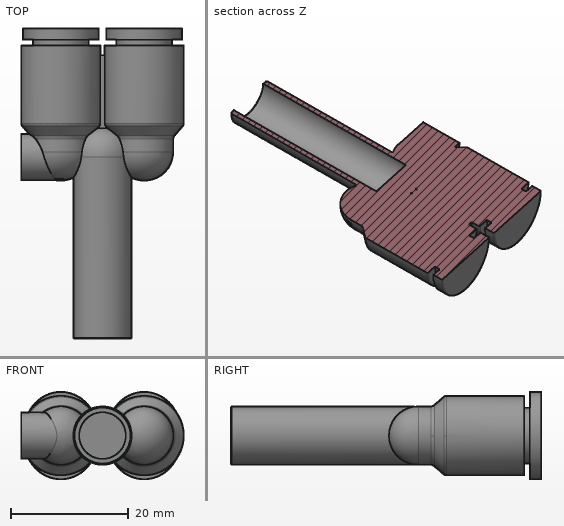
import cadquery as cq

length = 53.1
width = 27.8
back_y = length / 2

body_radius = 6.8
socket_x = width / 2 - body_radius
neck_radius = 5.0
body_start = 2.9
cone_start = 16.5
cone_end = 18.6
neck_end = 21.1
shoulder_fillet = 0.7
neck_fillet = 0.9
rim_fillet = 0.15

edge_margin = 0.05

collar_width = 13.0
collar_height = 15.0
collar_thickness = 1.95
sleeve_radius = 4.8

tube_radius = neck_radius
bore_radius = 4.0
junction_depth = 22.0
junction_y = back_y - junction_depth
stem_length = length - junction_depth
tube_chamfer = 0.2

plug_radius = 4.0
plug_depth = 22.05

web_start = 4.6
web_height = 2.0
web_overlap = 0.25


def fillet_ring(turned, ring_radius, ring_y, fillet_radius):
    """Round the circular edge of the given radius and height on a solid turned about Y."""
    reach = ring_radius + edge_margin
    zone = cq.selectors.BoxSelector(
        (-reach, ring_y - edge_margin, -reach),
        (reach, ring_y + edge_margin, reach),
    )
    return turned.edges(zone).edges("%CIRCLE").fillet(fillet_radius)


def socket(x):
    """Collar, sleeve, stepped body and rounded end about the axis at x."""
    along = cq.Workplane("XZ", origin=(x, back_y, 0))
    collar = along.ellipse(collar_width / 2, collar_height / 2).extrude(collar_thickness)
    collar = collar.faces(">Y").edges().fillet(rim_fillet)
    sleeve = along.circle(sleeve_radius).extrude(body_start + neck_radius)

    body = (
        cq.Workplane("XY")
        .moveTo(0, -body_start)
        .lineTo(body_radius, -body_start)
        .lineTo(body_radius, -cone_start)
        .lineTo(neck_radius, -cone_end)
        .lineTo(neck_radius, -neck_end)
        .lineTo(0, -neck_end)
        .close()
        .revolve(360, (0, 0, 0), (0, 1, 0))
    )
    body = fillet_ring(body, body_radius, -cone_start, shoulder_fillet)
    body = fillet_ring(body, neck_radius, -cone_end, neck_fillet)
    body = body.faces(">Y").edges().fillet(rim_fillet)
    body = body.translate((x, back_y, 0))
    end = cq.Workplane("XY").sphere(neck_radius).translate((x, back_y - neck_end, 0))
    return collar.union(sleeve).union(body).union(end)


def stem():
    """Tube running to the -Y end, closed by a dome between the sockets."""
    tube = cq.Workplane("XZ", origin=(0, junction_y, 0)).circle(tube_radius).extrude(stem_length)
    tube = tube.faces("<Y").edges().chamfer(tube_chamfer)
    dome = cq.Workplane("XY").sphere(tube_radius).translate((0, junction_y, 0))
    return tube.union(dome)


def stem_bore():
    """Blind bore from the -Y end up to the centre of the dome."""
    return cq.Workplane("XZ", origin=(0, junction_y, 0)).circle(bore_radius).extrude(stem_length)


def plug():
    """Solid stub from the -X side to the axis of the nearer socket."""
    side = cq.Workplane("YZ", origin=(-width / 2, back_y - plug_depth, 0))
    return side.circle(plug_radius).extrude(body_radius)


def web():
    """Thin rib joining the two bodies, buried at its ends in the bodies and the dome."""
    rib_width = 2 * (socket_x - body_radius + web_overlap)
    rib_length = junction_depth - web_start
    rib = cq.Workplane("XY").box(rib_width, rib_length, web_height)
    return rib.translate((0, junction_y + rib_length / 2, 0))


sockets = socket(-socket_x).union(socket(socket_x))
result = sockets.union(stem()).union(plug()).union(web()).cut(stem_bore())